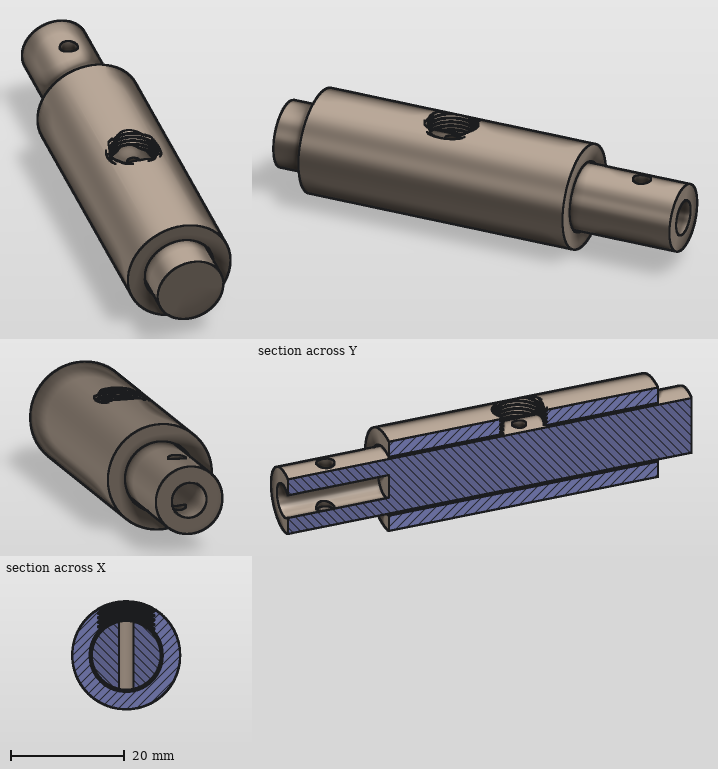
import cadquery as cq

shaft_length = 76.2
shaft_diameter = 12.2
left_stub_length = shaft_length / 4
right_stub_length = shaft_length / 12

sleeve_diameter = 19.05
sleeve_bore_diameter = 12.8
sleeve_length = shaft_length - left_stub_length - right_stub_length
window_x = left_stub_length + sleeve_length / 2

thread_minor_diameter = 8.7
thread_major_diameter = 9.8
turns_over_shaft_length = 96
thread_pitch = shaft_length / turns_over_shaft_length
root_flat = thread_pitch / 8
crest_flat = thread_pitch / 4
thread_start_z = 3.6
mouth_overlap = 0.015
thread_overrun = 0.8
thread_start_angle = 340.0
cut_tolerance = 0.0001

end_bore_diameter = 6.3
end_bore_depth = left_stub_length
screw_hole_diameter = 3.2
screw_hole_x = 7.9
screw_hole_depth = 10.0
cross_hole_diameter = 2.5


def x_cylinder(diameter, start_x, length):
    """Solid cylinder on the X axis."""
    return cq.Workplane("YZ", origin=(start_x, 0, 0)).circle(diameter / 2).extrude(length)


def z_cylinder(diameter, x, bottom_z, top_z):
    """Solid vertical cylinder standing at the given X, on Y = 0."""
    return cq.Workplane("XY", origin=(x, 0, bottom_z)).circle(diameter / 2).extrude(top_z - bottom_z)


def make_thread_groove():
    """Right-handed helical groove with sloping flanks, cut outward from the wall of the threaded hole."""
    root_radius = thread_major_diameter / 2
    crest_radius = thread_minor_diameter / 2
    mouth_radius = crest_radius - mouth_overlap
    half_root = root_flat / 2
    half_mouth = (thread_pitch - crest_flat) / 2
    height = sleeve_diameter / 2 + thread_overrun - thread_start_z
    path = cq.Wire.makeHelix(thread_pitch, height, root_radius)
    groove = (
        cq.Workplane("XZ")
        .moveTo(root_radius, half_root)
        .lineTo(crest_radius, half_mouth)
        .lineTo(mouth_radius, half_mouth)
        .lineTo(mouth_radius, -half_mouth)
        .lineTo(crest_radius, -half_mouth)
        .lineTo(root_radius, -half_root)
        .close()
        .sweep(cq.Workplane(path), isFrenet=True)
    )
    return groove.rotate((0, 0, 0), (0, 0, 1), thread_start_angle).translate((window_x, 0, thread_start_z))


def make_sleeve():
    """Plain tube with one threaded hole in its upper wall."""
    sleeve = x_cylinder(sleeve_diameter, left_stub_length, sleeve_length)
    sleeve = sleeve.cut(x_cylinder(sleeve_bore_diameter, left_stub_length, sleeve_length))
    sleeve = sleeve.cut(z_cylinder(thread_minor_diameter, window_x, 0, sleeve_diameter))
    return sleeve.cut(make_thread_groove(), clean=False, tol=cut_tolerance)


def make_shaft():
    """Round shaft with an end bore, a screw hole into that bore and a cross hole."""
    shaft_radius = shaft_diameter / 2
    shaft = x_cylinder(shaft_diameter, 0, shaft_length)
    shaft = shaft.cut(x_cylinder(end_bore_diameter, 0, end_bore_depth))
    screw_hole_floor_z = shaft_radius - screw_hole_depth
    shaft = shaft.cut(z_cylinder(screw_hole_diameter, screw_hole_x, screw_hole_floor_z, shaft_radius))
    return shaft.cut(z_cylinder(cross_hole_diameter, window_x, -shaft_radius, shaft_radius))


sleeve = make_sleeve()
shaft = make_shaft()
result = cq.Compound.makeCompound([sleeve.val(), shaft.val()])